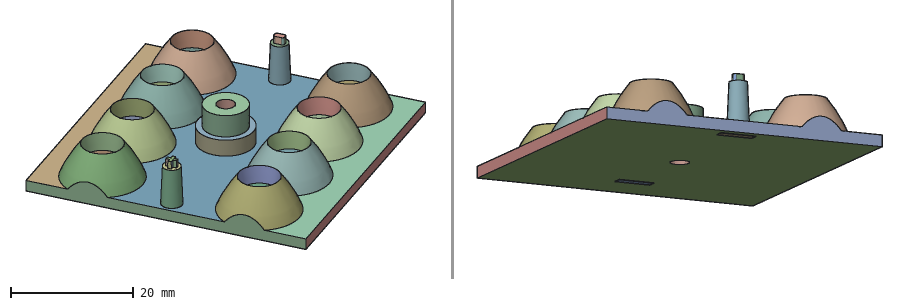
import cadquery as cq

plate_size = 49.8
plate_thickness = 2.0

cup_rows = 4
cup_pitch = plate_size / cup_rows
cup_column_x = 13.95
cup_height = 6.2
cup_base_radius = 7.15
cup_rim_radius = 3.6
cup_waist_radius = cup_pitch / 2
cup_waist_height = 2.1

pocket_floor_radius = 3.25
pocket_depth = 3.15
pocket_floor_rise = 0.7

boss_lower_radius = 5.0
boss_lower_height = 3.0
boss_upper_radius = 3.9
boss_height = 6.95
bore_radius = 1.6

post_y = 22.45
post_base_radius = 1.85
post_top_radius = 1.55
post_height = boss_height
mark_length = 2.0
mark_height = 1.3
plus_arm_width = 0.7
quarter_turn = 90.0
minus_width = 1.3
minus_corner_radius = 0.4
mark_taper = 2.5

pad_length = 6.25
pad_width = 1.65
pad_thickness = 0.1
pad_x = 0.4
pad_places_y = (22.65, -16.55)


def revolve_about_z(profile):
    """Turn a half section drawn in the XZ plane a full turn about Z."""
    return profile.revolve(360, (0, 0), (0, 1))


def make_plate():
    return cq.Workplane("XY").rect(plate_size, plate_size).extrude(-plate_thickness)


def cup_profile():
    """Half section of the domed body, running down to the bottom of the plate."""
    return (
        cq.Workplane("XZ")
        .moveTo(0, -plate_thickness)
        .lineTo(cup_base_radius, -plate_thickness)
        .lineTo(cup_base_radius, 0)
        .threePointArc((cup_waist_radius, cup_waist_height), (cup_rim_radius, cup_height))
        .lineTo(0, cup_height)
        .close()
    )


def pocket_profile():
    """Half section of the hole in a cup."""
    floor_z = cup_height - pocket_depth
    return (
        cq.Workplane("XZ")
        .moveTo(0, floor_z + pocket_floor_rise)
        .lineTo(pocket_floor_radius, floor_z)
        .lineTo(cup_rim_radius, cup_height)
        .lineTo(0, cup_height)
        .close()
    )


def make_cup():
    """One cup, trimmed to its own pitch so that it meets its neighbours on flat faces."""
    body = revolve_about_z(cup_profile())
    trim = cq.Workplane("XY").box(2 * cup_base_radius, cup_pitch, 2 * cup_height)
    pocket = revolve_about_z(pocket_profile())
    return body.intersect(trim).cut(pocket)


def make_boss():
    lower = cq.Workplane("XY").circle(boss_lower_radius).extrude(boss_lower_height)
    upper = cq.Workplane("XY").circle(boss_upper_radius).extrude(boss_height)
    return lower.union(upper)


def make_post(y):
    return (
        cq.Workplane("XY", origin=(0, y, 0))
        .circle(post_base_radius)
        .workplane(offset=post_height)
        .circle(post_top_radius)
        .loft()
    )


def make_mark(outline):
    """Raise a mark from the top of a post, narrowing slightly upwards."""
    return outline.extrude(mark_height, taper=mark_taper)


def make_plus(y):
    top = cq.Workplane("XY", origin=(0, y, post_height))
    along_x = cq.Sketch().rect(mark_length, plus_arm_width)
    return make_mark(top.placeSketch(along_x)).union(
        make_mark(top.placeSketch(along_x.moved(cq.Location((0, 0, 0), (0, 0, 1), quarter_turn))))
    )


def make_minus(y):
    top = cq.Workplane("XY", origin=(0, y, post_height))
    outline = cq.Sketch().rect(mark_length, minus_width).vertices().fillet(minus_corner_radius)
    return make_mark(top.placeSketch(outline))


def make_pad(y):
    underside = cq.Workplane("XY", origin=(pad_x, y, -plate_thickness))
    return underside.rect(pad_length, pad_width).extrude(-pad_thickness)


result = make_plate()

cup = make_cup()
for x in (-cup_column_x, cup_column_x):
    for row in range(cup_rows):
        y = (row + 0.5) * cup_pitch - plate_size / 2
        result = result.union(cup.translate((x, y, 0)))

bore = (
    cq.Workplane("XY", origin=(0, 0, -plate_thickness))
    .circle(bore_radius)
    .extrude(plate_thickness + boss_height)
)
result = result.union(make_boss()).cut(bore)

for y in (-post_y, post_y):
    result = result.union(make_post(y))

result = result.union(make_plus(-post_y)).union(make_minus(post_y))

for y in pad_places_y:
    result = result.union(make_pad(y))